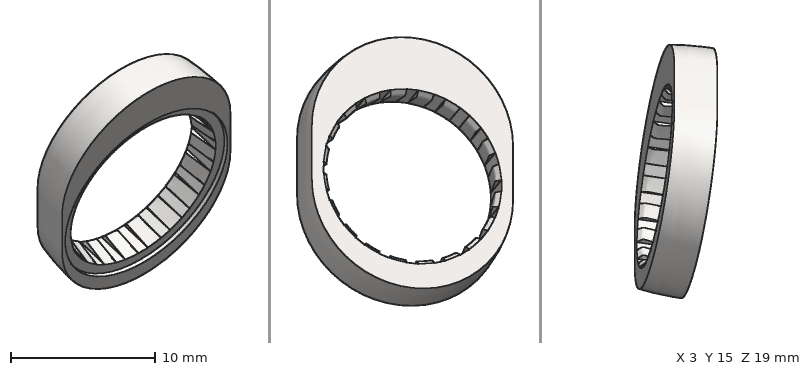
import cadquery as cq
import math

thickness = 3.0
width = 14.95
height = 18.95
end_radius = width / 2
centre_offset = (height - width) / 2

wall_break = 1.0
break_inset = 0.085
front_inset = 0.2

opening_drop = 1.0
bore_radius = 6.42
counterbore_radius = 7.2
counterbore_depth = 0.35
lip_end = thickness - counterbore_depth

tooth_count = 20
gap_width = 0.83
ramp_length = 0.36
tooth_height = 0.35
tooth_end = 2.54
crest_radius = 0.23
overlap = 0.19


def wall_profile():
    """Closed section of the solid body, from its middle line out to the curved wall."""
    arc_length = thickness - wall_break
    arc_radius = (arc_length**2 + break_inset**2) / (2 * break_inset)
    half_length = arc_length / 2
    middle_inset = arc_radius - math.sqrt(arc_radius**2 - half_length**2)
    return (
        cq.Workplane("XY")
        .moveTo(0, 0)
        .lineTo(0, end_radius - front_inset)
        .lineTo(wall_break, end_radius - break_inset)
        .threePointArc((thickness - half_length, end_radius - middle_inset), (thickness, end_radius))
        .lineTo(thickness, 0)
        .close()
    )


def outer_body():
    """Two turned ends joined by a straight middle of the same section."""
    end = wall_profile().revolve(360, (0, 0, 0), (1, 0, 0))
    half_middle = wall_profile().extrude(centre_offset, both=True)
    middle = half_middle.union(half_middle.mirror("XZ"))
    return (
        middle
        .union(end.translate((0, 0, centre_offset)))
        .union(end.translate((0, 0, -centre_offset)))
    )


def disc(radius, start, end):
    """Cylinder along X, on the axis of the opening."""
    return (
        cq.Workplane("YZ", origin=(start, 0, -opening_drop))
        .circle(radius)
        .extrude(end - start)
    )


def tooth_ring():
    """Ring with a front ramp, a rounded crest and a gentle fall back to the bore."""
    section = (
        cq.Workplane("XY")
        .moveTo(0, bore_radius)
        .lineTo(ramp_length, bore_radius - tooth_height)
        .lineTo(tooth_end, bore_radius)
        .lineTo(tooth_end, bore_radius + overlap)
        .lineTo(0, bore_radius + overlap)
        .close()
    )
    ring = section.revolve(360, (0, 0, 0), (1, 0, 0))
    crest_edge = cq.selectors.RadiusNthSelector(0)
    return ring.edges(crest_edge).fillet(crest_radius).translate((0, 0, -opening_drop))


def tooth_gaps():
    """Flat-floored bars across the opening, each cutting two opposite gaps between teeth."""
    bar = cq.Workplane("XY").box(lip_end, gap_width, 2 * bore_radius).translate((lip_end / 2, 0, 0))
    gaps = bar
    for index in range(1, tooth_count // 2):
        gaps = gaps.union(bar.rotate((0, 0, 0), (1, 0, 0), index * 360 / tooth_count))
    return gaps.translate((0, 0, -opening_drop))


result = (
    outer_body()
    .cut(disc(bore_radius, 0, thickness))
    .cut(disc(counterbore_radius, lip_end, thickness))
    .union(tooth_ring())
    .cut(tooth_gaps())
)